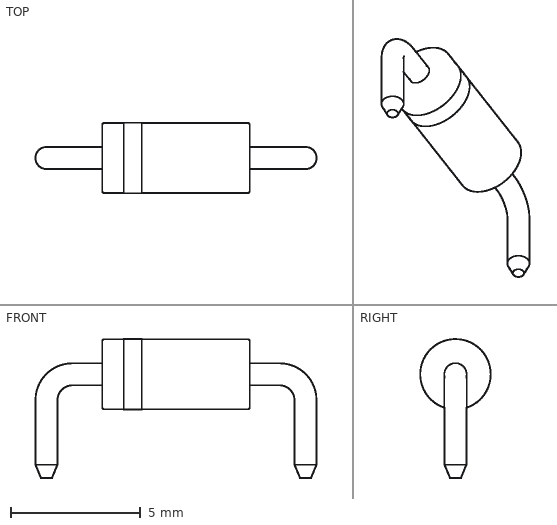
import cadquery as cq


body_diameter = 2.72
body_length = 5.71
body_edge_radius = 0.1

band_diameter = 2.73
band_width = 0.69
band_end_gap = 0.84

lead_diameter = 0.86
lead_pitch = 10.0
bend_radius = 1.0
tip_diameter = lead_diameter / 2
tip_length = 0.52

overall_height = 5.37
axis_height = overall_height - band_diameter / 2


def cylinder_along_x(diameter, length, start_x):
    """Cylinder on the body axis, running from start_x toward +X."""
    plane = cq.Workplane("YZ", origin=(start_x, 0, axis_height))
    return plane.circle(diameter / 2).extrude(length)


def make_body():
    """Rounded cylindrical body with its raised cathode band."""
    body_start = -body_length / 2
    body = cylinder_along_x(body_diameter, body_length, body_start)
    body = body.edges("%CIRCLE").fillet(body_edge_radius)
    band = cylinder_along_x(band_diameter, band_width, body_start + band_end_gap)
    return body.union(band)


def make_leads():
    """One wire through the body, bent down into a leg at each end."""
    leg_x = lead_pitch / 2
    bend_start_x = leg_x - bend_radius
    bend_end_z = axis_height - bend_radius
    wire_path = (
        cq.Workplane("XZ")
        .moveTo(-leg_x, tip_length)
        .lineTo(-leg_x, bend_end_z)
        .radiusArc((-bend_start_x, axis_height), bend_radius)
        .lineTo(bend_start_x, axis_height)
        .radiusArc((leg_x, bend_end_z), bend_radius)
        .lineTo(leg_x, tip_length)
    )
    leads = (
        cq.Workplane("XY", origin=(-leg_x, 0, tip_length))
        .circle(lead_diameter / 2)
        .sweep(wire_path)
    )
    for tip_x in (-leg_x, leg_x):
        leads = leads.union(make_tip(tip_x))
    return leads


def make_tip(tip_x):
    """Tapered end of a leg, narrowing down to Z = 0."""
    return (
        cq.Workplane("XY", origin=(tip_x, 0, 0))
        .circle(tip_diameter / 2)
        .workplane(offset=tip_length)
        .circle(lead_diameter / 2)
        .loft(ruled=True)
    )


result = make_body().union(make_leads())